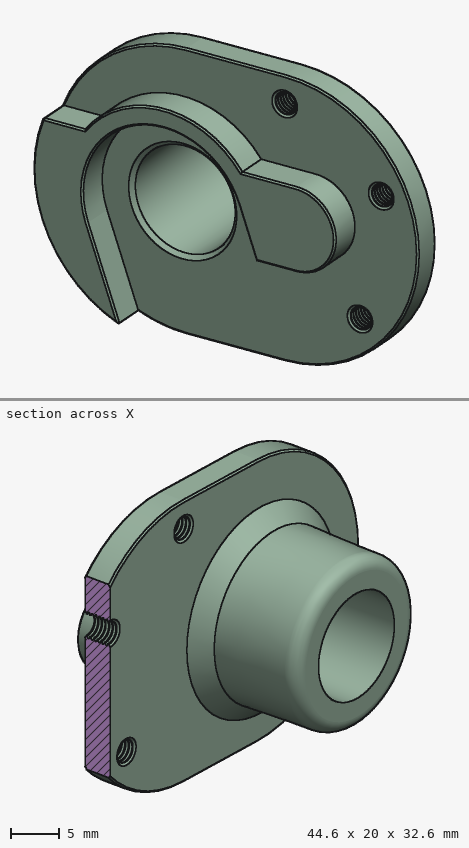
import cadquery as cq
import math


total_depth = 20.0

flange_radius = 16.3
flange_straight = 12.0
flange_thickness = 3.4
flange_center_x = 0.45
flange_center_z = 1.2
edge_chamfer = 0.2

boss_height = 12.8
boss_tip_radius = 9.72
boss_root_radius = 9.93
boss_fillet = 1.5
cone_height = 2.0
cone_base_radius = boss_root_radius + cone_height
bore_diameter = 12.2
bore_chamfer = 0.5

pad_height = total_depth - boss_height - flange_thickness
relief_radius = 9.83
pad_arch_radius = 12.0
pad_top_z = 7.22
lobe_radius = 4.83
lobe_center_x = 16.2
trim_margin = 1.0
relief_angle = math.radians(20)

thread_minor_diameter = 2.53
thread_major_diameter = 3.09
thread_turns = 7
thread_crest_width = 0.12
hole_arc_radius = 13.0
hole_arc_center_x = flange_center_x + flange_straight
hole_arc_center_z = 1.26
hole_angles = (90, 25, -45)


def front_plane(depth):
    """Sketch plane at Y = depth with +X right, +Z up and its normal toward -Y."""
    return cq.Workplane("XZ", origin=(0, depth, 0))


def flange_blank(front_y, back_y):
    """Stadium-shaped slab between two Y levels."""
    return (
        front_plane(back_y)
        .center(flange_center_x + flange_straight / 2, flange_center_z)
        .slot2D(flange_straight + 2 * flange_radius, 2 * flange_radius)
        .extrude(back_y - front_y)
    )


def make_flange():
    return flange_blank(0, flange_thickness).faces("<Y or >Y").chamfer(edge_chamfer)


def make_pad():
    """Hooked pad: an arch around the bore with a round lobe, trimmed to the flange rim."""
    lobe_bottom_z = pad_top_z - 2 * lobe_radius
    arch_end_x = math.sqrt(pad_arch_radius**2 - pad_top_z**2)
    tangent_x = relief_radius * math.cos(relief_angle)
    tangent_z = relief_radius * math.sin(relief_angle)
    lobe_corner_x = tangent_x + (tangent_z - lobe_bottom_z) * math.tan(relief_angle)
    far_left = flange_center_x - flange_radius - trim_margin
    far_bottom = flange_center_z - flange_radius - trim_margin
    side_end_x = -tangent_x + (-tangent_z - far_bottom) * math.tan(relief_angle)
    outline = (
        front_plane(flange_thickness / 2)
        .moveTo(far_left, pad_top_z)
        .lineTo(-arch_end_x, pad_top_z)
        .threePointArc((0, pad_arch_radius), (arch_end_x, pad_top_z))
        .lineTo(lobe_center_x, pad_top_z)
        .threePointArc(
            (lobe_center_x + lobe_radius, pad_top_z - lobe_radius),
            (lobe_center_x, lobe_bottom_z),
        )
        .lineTo(lobe_corner_x, lobe_bottom_z)
        .lineTo(tangent_x, tangent_z)
        .threePointArc((0, relief_radius), (-tangent_x, -tangent_z))
        .lineTo(side_end_x, far_bottom)
        .lineTo(far_left, far_bottom)
        .close()
    )
    pad = outline.extrude(pad_height + flange_thickness / 2)
    rim = flange_blank(-pad_height, flange_thickness - edge_chamfer)
    pad = pad.intersect(rim)
    front_edges = pad.faces("<Y").edges().vals()
    rim_corners = pad.edges("|Y").edges("<X or <Z").vals()
    return pad.newObject(front_edges + rim_corners).chamfer(edge_chamfer)


def make_boss():
    """Revolved boss: conical foot, slightly flared wall and rounded tip."""
    cone_top_y = flange_thickness + cone_height
    tip_y = flange_thickness + boss_height
    fillet_y = tip_y - boss_fillet
    flare_middle_radius = boss_tip_radius + (boss_root_radius - boss_tip_radius) / 4
    fillet_inset = boss_fillet * (1 - math.sqrt(0.5))
    return (
        cq.Workplane("XY")
        .moveTo(0, flange_thickness / 2)
        .lineTo(cone_base_radius, flange_thickness / 2)
        .lineTo(cone_base_radius, flange_thickness)
        .lineTo(boss_root_radius, cone_top_y)
        .threePointArc(
            (flare_middle_radius, (cone_top_y + fillet_y) / 2),
            (boss_tip_radius, fillet_y),
        )
        .threePointArc(
            (boss_tip_radius - fillet_inset, tip_y - fillet_inset),
            (boss_tip_radius - boss_fillet, tip_y),
        )
        .lineTo(0, tip_y)
        .close()
        .revolve(360, (0, 0, 0), (0, 1, 0))
    )


def make_bore():
    """Through bore with a chamfered mouth in the flange front."""
    bore_radius = bore_diameter / 2
    end_y = flange_thickness + boss_height
    return (
        cq.Workplane("XY")
        .polyline([
            (0, 0),
            (bore_radius + bore_chamfer, 0),
            (bore_radius, bore_chamfer),
            (bore_radius, end_y),
            (0, end_y),
        ])
        .close()
        .revolve(360, (0, 0, 0), (0, 1, 0))
    )


def make_thread_cutter():
    """Cutter along +Y whose V grooves open to the major diameter at both flange faces."""
    minor_radius = thread_minor_diameter / 2
    major_radius = thread_major_diameter / 2
    pitch = flange_thickness / thread_turns
    flank_width = (pitch - thread_crest_width) / 2
    profile = cq.Workplane("XY").lineTo(major_radius, 0)
    for turn in range(thread_turns):
        start_y = turn * pitch
        profile = profile.lineTo(minor_radius, start_y + flank_width)
        profile = profile.lineTo(minor_radius, start_y + flank_width + thread_crest_width)
        profile = profile.lineTo(major_radius, start_y + pitch)
    return profile.lineTo(0, flange_thickness).close().revolve(360, (0, 0, 0), (0, 1, 0))


def cut_threaded_holes(body):
    cutter = make_thread_cutter()
    for angle in hole_angles:
        turn = math.radians(angle)
        x = hole_arc_center_x + hole_arc_radius * math.cos(turn)
        z = hole_arc_center_z + hole_arc_radius * math.sin(turn)
        body = body.cut(cutter.translate((x, 0, z)))
    return body


body = make_flange().union(make_pad()).union(make_boss()).cut(make_bore())
result = cut_threaded_holes(body)